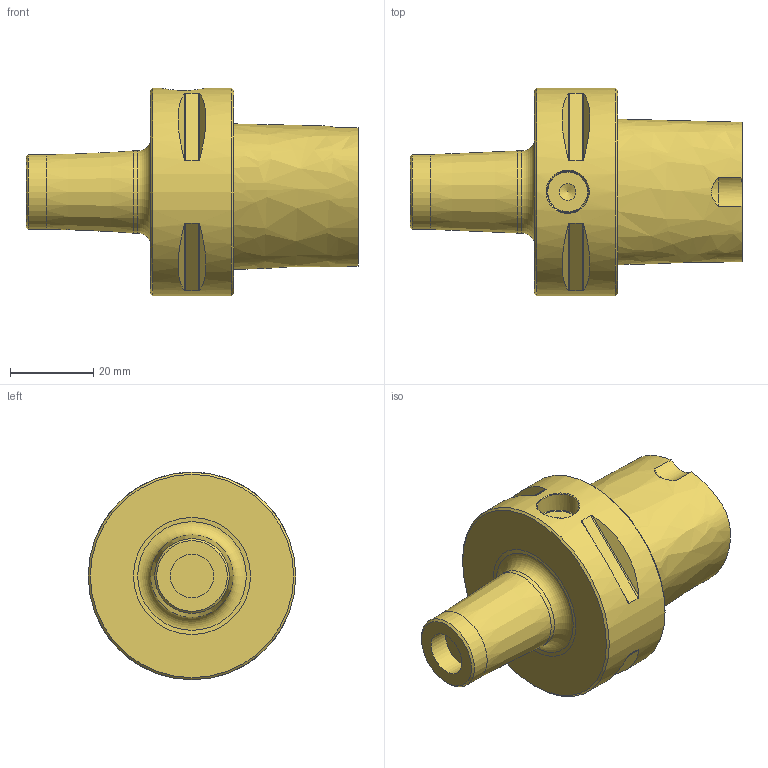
import cadquery as cq
import math


flange_radius = 25.0
flange_width = 20.0
edge_chamfer = 0.5

nose_length = 30.0
nose_tip_radius = 9.0
nose_tip_length = 4.9
nose_base_radius = 9.9
nose_base_length = 1.1
nose_bore_diameter = 10.5
nose_bore_depth = 5.0

root_fillet_radius = 3.2
root_fillet_start = 3.1
relief_radius = 14.1

shank_length = 30.0
shank_mean_radius = 17.55
shank_lobe_height = 1.1
shank_taper = 1 / 40
lobe_count = 3
lobe_points = 48

key_radius = 5.0
key_depth = 1.6
key_length = 5.65

groove_count = 4
groove_first_angle = 45.0
groove_floor_distance = 22.2
groove_floor_width = 3.5
groove_flank_angle = 30.0
groove_root_radius = 0.4
groove_overshoot = 5.0

hole_from_front = 8.0
hole_diameter = 10.0
hole_floor_height = 19.7
hole_floor_chamfer = 0.2
hole_mouth_chamfer = 0.2
dimple_diameter = 4.0
dimple_point_angle = 130.0

flange_front = -flange_width
nose_front = flange_front - nose_length
shank_end_mean_radius = shank_mean_radius - shank_taper * shank_length


def make_turned_body():
    """Revolve the nose, its sunken root fillet and the flange."""
    fillet_start = flange_front - root_fillet_start
    fillet_end = fillet_start + root_fillet_radius
    fillet_outer = nose_base_radius + root_fillet_radius
    arc_offset = root_fillet_radius * math.sqrt(0.5)
    arc_middle = (fillet_start + arc_offset, fillet_outer - arc_offset)
    profile = (
        cq.Workplane("XY")
        .moveTo(nose_front, 0)
        .lineTo(nose_front, nose_tip_radius - edge_chamfer)
        .lineTo(nose_front + edge_chamfer, nose_tip_radius)
        .lineTo(nose_front + nose_tip_length, nose_tip_radius)
        .lineTo(fillet_start - nose_base_length, nose_base_radius)
        .lineTo(fillet_start, nose_base_radius)
        .threePointArc(arc_middle, (fillet_end, fillet_outer))
        .lineTo(flange_front, relief_radius)
        .lineTo(flange_front, flange_radius - edge_chamfer)
        .lineTo(flange_front + edge_chamfer, flange_radius)
        .lineTo(-edge_chamfer, flange_radius)
        .lineTo(0, flange_radius - edge_chamfer)
        .lineTo(0, 0)
        .close()
    )
    return profile.revolve(360, (0, 0, 0), (1, 0, 0))


def lobed_point(angle, mean_radius):
    """Point (Y, Z) of a constant-width outline with one lobe pointing to -Z."""
    phase = lobe_count * (angle + math.pi / 2)
    support = mean_radius + shank_lobe_height * math.cos(phase)
    slope = -lobe_count * shank_lobe_height * math.sin(phase)
    y = support * math.cos(angle) - slope * math.sin(angle)
    z = support * math.sin(angle) + slope * math.cos(angle)
    return y, z


def make_shank():
    """Loft the lobed outline from the flange to the smaller rear end."""
    angles = [2 * math.pi * i / lobe_points for i in range(lobe_points)]
    front_outline = [lobed_point(a, shank_mean_radius) for a in angles]
    rear_outline = [lobed_point(a, shank_end_mean_radius) for a in angles]
    return (
        cq.Workplane("YZ")
        .spline(front_outline, periodic=True)
        .close()
        .workplane(offset=shank_length)
        .spline(rear_outline, periodic=True)
        .close()
        .loft(ruled=True)
    )


def make_nose_bore():
    return (
        cq.Workplane("YZ", origin=(nose_front, 0, 0))
        .circle(nose_bore_diameter / 2)
        .extrude(nose_bore_depth)
    )


def make_keyway():
    """Round-bottomed cutter with a 45 degree cone at its inner end."""
    shank_end_top = shank_end_mean_radius - shank_lobe_height
    axis_height = shank_end_top - key_depth + key_radius
    cone_base = shank_length - key_length
    profile = (
        cq.Workplane("XZ")
        .moveTo(cone_base - key_radius, axis_height)
        .lineTo(cone_base, axis_height - key_radius)
        .lineTo(shank_length, axis_height - key_radius)
        .lineTo(shank_length, axis_height)
        .close()
    )
    return profile.revolve(360, (0, axis_height, 0), (1, axis_height, 0))


def make_groove(angle):
    """Straight trapezoidal groove across the flange rim, facing the given angle."""
    height = flange_radius + groove_overshoot - groove_floor_distance
    half_floor = groove_floor_width / 2
    half_top = half_floor + height * math.tan(math.radians(groove_flank_angle))
    groove = (
        cq.Workplane("XZ")
        .polyline([(-half_floor, 0), (half_floor, 0), (half_top, height), (-half_top, height)])
        .close()
        .extrude(flange_radius, both=True)
        .faces("<Z")
        .edges("|Y")
        .fillet(groove_root_radius)
    )
    groove = groove.translate((-flange_width / 2, 0, groove_floor_distance))
    return groove.rotate((0, 0, 0), (1, 0, 0), angle)


def cut_flange_hole(body):
    """Blind hole with a bevelled floor edge, a conical dimple and a chamfered mouth."""
    hole_x = flange_front + hole_from_front
    hole_radius = hole_diameter / 2
    dimple_radius = dimple_diameter / 2
    dimple_depth = dimple_radius / math.tan(math.radians(dimple_point_angle / 2))
    profile = (
        cq.Workplane("XZ")
        .moveTo(0, hole_floor_height - dimple_depth)
        .lineTo(dimple_radius, hole_floor_height)
        .lineTo(hole_radius - hole_floor_chamfer, hole_floor_height)
        .lineTo(hole_radius, hole_floor_height + hole_floor_chamfer)
        .lineTo(hole_radius, flange_radius)
        .lineTo(0, flange_radius)
        .close()
    )
    cutter = profile.revolve(360, (0, 0, 0), (0, 1, 0)).translate((hole_x, 0, 0))
    mouth_low = math.sqrt(flange_radius**2 - hole_radius**2)
    mouth_middle = (flange_radius + mouth_low) / 2
    mouth = cq.selectors.NearestToPointSelector((hole_x, 0, mouth_middle))
    return body.cut(cutter).edges(mouth).chamfer(hole_mouth_chamfer)


result = make_turned_body().union(make_shank())
result = cut_flange_hole(result)
result = result.cut(make_nose_bore()).cut(make_keyway())
for index in range(groove_count):
    groove_angle = groove_first_angle + index * 360 / groove_count
    result = result.cut(make_groove(groove_angle))